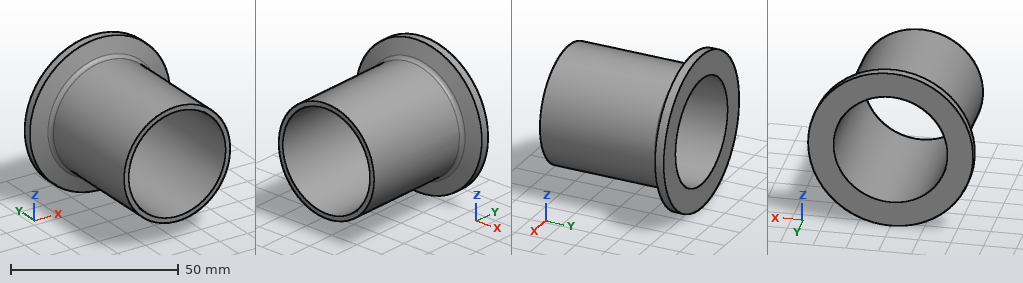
import cadquery as cq
import math

flange_diameter = 50.4
tube_diameter = 38.1
bore_diameter = 34.8
overall_length = 44.5
rim_thickness = 2.85
taper_angle = 20.0
neck_fillet = 1.5

flange_radius = flange_diameter / 2
tube_radius = tube_diameter / 2
bore_radius = bore_diameter / 2
taper_depth = (flange_radius - tube_radius) * math.tan(math.radians(taper_angle))

rim_y = -rim_thickness
neck_y = rim_y - taper_depth

body = (
    cq.Workplane("XY")
    .moveTo(bore_radius, 0)
    .lineTo(flange_radius, 0)
    .lineTo(flange_radius, rim_y)
    .lineTo(tube_radius, neck_y)
    .lineTo(tube_radius, -overall_length)
    .lineTo(bore_radius, -overall_length)
    .close()
    .revolve(360, (0, 0, 0), (0, 1, 0))
)

search_margin = taper_depth / 4
neck_edge = cq.selectors.BoxSelector(
    (-flange_radius, neck_y - search_margin, -flange_radius),
    (flange_radius, neck_y + search_margin, flange_radius),
    boundingbox=True,
)
result = body.edges(neck_edge).fillet(neck_fillet)